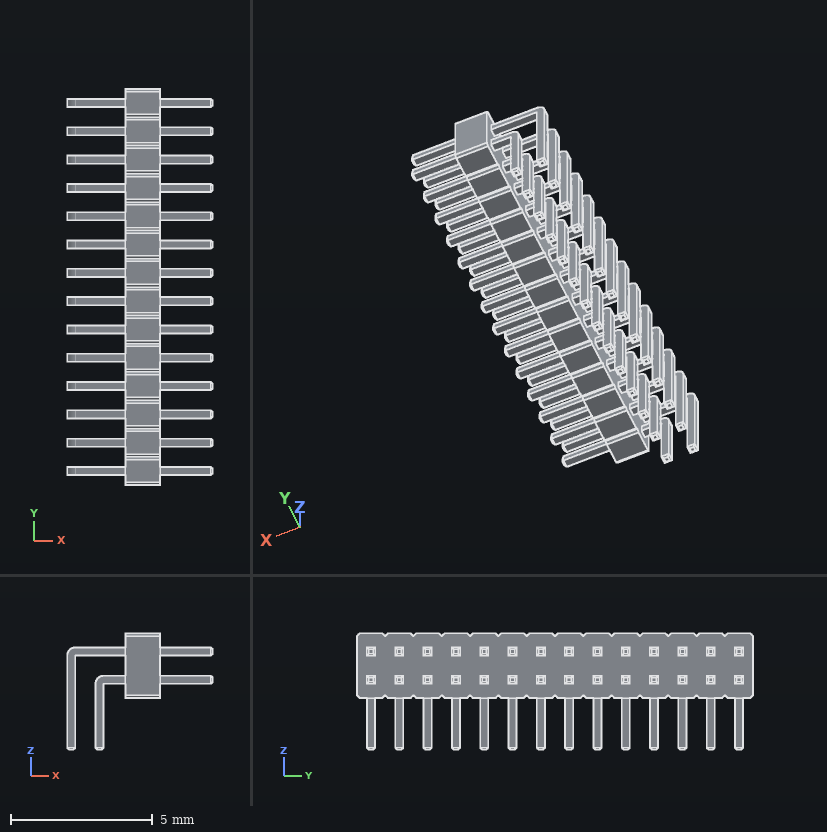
import cadquery as cq

columns = 14
length = 14.0
overall_width = 5.15
overall_height = 4.12
pitch = length / columns

body_width = 1.23
body_edge = 0.65
body_height = pitch + 2 * body_edge
body_left = 2.06
body_chamfer = 0.1

pin = 0.3
tip_chamfer = 0.07
lower_row_z = overall_height - body_edge - pitch
upper_row_z = overall_height - body_edge


def body_cell(y):
    """One cell of the body; its chamfered long edges form V grooves with its neighbours."""
    return (
        cq.Workplane("XY")
        .box(body_width, pitch, body_height, centered=(False, True, False))
        .edges("|X")
        .chamfer(body_chamfer)
        .translate((body_left, y, overall_height - body_height))
    )


def bent_pin(leg_x, row_z, y):
    """An L-shaped pin with a vertical leg at leg_x and a horizontal arm at row_z."""
    leg_left = leg_x - pin / 2
    arm_bottom = row_z - pin / 2
    leg = cq.Workplane("XY").box(pin, pin, row_z + pin / 2, centered=(False, True, False))
    leg = leg.translate((leg_left, y, 0)).faces("<Z").chamfer(tip_chamfer)
    arm = cq.Workplane("XY").box(overall_width - leg_left, pin, pin, centered=(False, True, False))
    arm = arm.translate((leg_left, y, arm_bottom)).faces(">X").chamfer(tip_chamfer)
    outer_corner = cq.selectors.NearestToPointSelector((leg_left, y, row_z + pin / 2))
    return leg.union(arm).clean().edges("|Y").edges(outer_corner).fillet(pin)


result = None
for column in range(columns):
    y = (column - (columns - 1) / 2) * pitch
    upper_pin = bent_pin(pin / 2, upper_row_z, y)
    lower_pin = bent_pin(pin / 2 + pitch, lower_row_z, y)
    cell = body_cell(y).union(upper_pin).union(lower_pin)
    result = cell if result is None else result.union(cell)
result = result.clean()